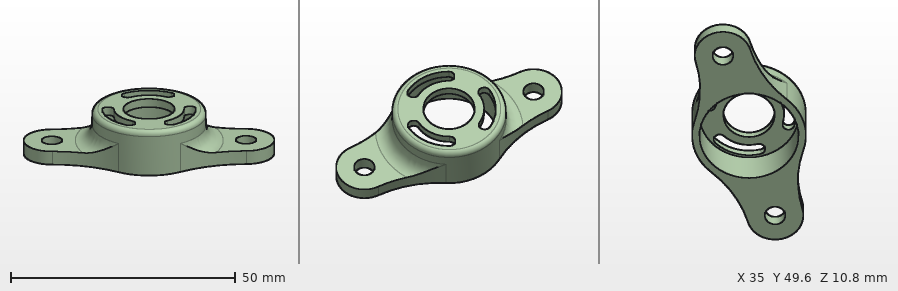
import cadquery as cq
import math

span_x = 35.05
span_y = 49.65
height = 10.75

body_radius = 25.4 / 2
cavity_radius = 22.1 / 2
roof_thickness = 2.0
bore_diameter = 11.4
rim_fillet = 1.25

flange_thickness = 3.25
lug_radius = 6.3
lug_hole_diameter = 4.55
flank_radius = 27.3
root_fillet = 3.75

slot_count = 3
slot_radius = 9.15
slot_width = 2.65
slot_half_angle = 30.0
first_slot_angle = 30.0

lug_x = span_x / 2 - lug_radius
lug_y = span_y / 2 - lug_radius
lug_distance = math.hypot(lug_x, lug_y)
lug_angle = math.degrees(math.atan2(lug_y, lug_x))


def polar(radius, angle):
    """Point at a radius and an angle in degrees about the body axis."""
    return (radius * math.cos(math.radians(angle)), radius * math.sin(math.radians(angle)))


def point_toward(start, end, distance):
    """Point on the line from start to end, a distance away from start."""
    ratio = distance / math.dist(start, end)
    return tuple(a + (b - a) * ratio for a, b in zip(start, end))


def flange_prism(depth):
    """Lugs blended into the body circle by tangent concave flanks, with the first lug along +X."""
    body_to_flank = body_radius + flank_radius
    lug_to_flank = lug_radius + flank_radius
    flank_x = (body_to_flank**2 - lug_to_flank**2 + lug_distance**2) / (2 * lug_distance)
    flank_y = math.sqrt(body_to_flank**2 - flank_x**2)

    flank_center = (flank_x, flank_y)
    lug_center = (lug_distance, 0)
    body_x, body_y = point_toward((0, 0), flank_center, body_radius)
    tip_x, tip_y = point_toward(lug_center, flank_center, lug_radius)
    chord_middle = ((body_x + tip_x) / 2, (body_y + tip_y) / 2)
    mid_x, mid_y = point_toward(flank_center, chord_middle, flank_radius)
    lug_end = lug_distance + lug_radius

    return (
        cq.Workplane("XY")
        .moveTo(body_x, -body_y)
        .threePointArc((mid_x, -mid_y), (tip_x, -tip_y))
        .threePointArc((lug_end, 0), (tip_x, tip_y))
        .threePointArc((mid_x, mid_y), (body_x, body_y))
        .threePointArc((0, body_radius), (-body_x, body_y))
        .threePointArc((-mid_x, mid_y), (-tip_x, tip_y))
        .threePointArc((-lug_end, 0), (-tip_x, -tip_y))
        .threePointArc((-mid_x, -mid_y), (-body_x, -body_y))
        .threePointArc((0, -body_radius), (body_x, -body_y))
        .close()
        .extrude(depth)
        .rotate((0, 0, 0), (0, 0, 1), lug_angle)
    )


def root_flare():
    """Solid of revolution whose concave side sweeps from the flange top up to the body wall."""
    flare_radius = body_radius + root_fillet
    flare_top = flange_thickness + root_fillet
    arc_reach = root_fillet * math.sqrt(0.5)
    return (
        cq.Workplane("XZ")
        .lineTo(flare_radius, 0)
        .lineTo(flare_radius, flange_thickness)
        .threePointArc((flare_radius - arc_reach, flare_top - arc_reach), (body_radius, flare_top))
        .lineTo(0, flare_top)
        .close()
        .revolve(360, (0, 0, 0), (0, 1, 0))
    )


def roof_slot(middle_angle):
    """Round-ended arc slot through the full height."""
    start = middle_angle - slot_half_angle
    end = middle_angle + slot_half_angle
    inner = slot_radius - slot_width / 2
    outer = slot_radius + slot_width / 2
    band = (
        cq.Workplane("XY")
        .moveTo(*polar(inner, start))
        .threePointArc(polar(inner, middle_angle), polar(inner, end))
        .lineTo(*polar(outer, end))
        .threePointArc(polar(outer, middle_angle), polar(outer, start))
        .close()
        .extrude(height)
    )
    ends = [polar(slot_radius, start), polar(slot_radius, end)]
    return band.union(cq.Workplane("XY").pushPoints(ends).circle(slot_width / 2).extrude(height))


body = cq.Workplane("XY").circle(body_radius).extrude(height).faces(">Z").edges().fillet(rim_fillet)
flare = root_flare().intersect(flange_prism(height))
result = body.union(flange_prism(flange_thickness)).union(flare)

result = result.cut(cq.Workplane("XY").circle(cavity_radius).extrude(height - roof_thickness))
result = result.cut(cq.Workplane("XY").circle(bore_diameter / 2).extrude(height))
lug_centers = [(lug_x, lug_y), (-lug_x, -lug_y)]
result = result.cut(
    cq.Workplane("XY").pushPoints(lug_centers).circle(lug_hole_diameter / 2).extrude(flange_thickness)
)

for index in range(slot_count):
    result = result.cut(roof_slot(first_slot_angle + index * 360 / slot_count))